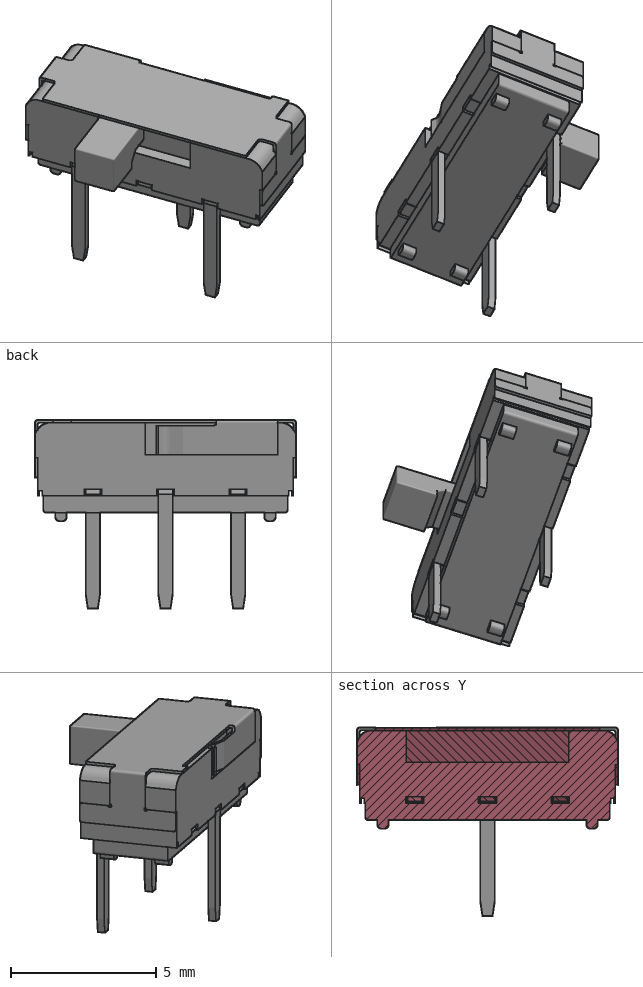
import cadquery as cq
import math


LENGTH = 9.0
DEPTH = 3.5
TOP = 3.195
SHEET = 0.1
HALF_X = LENGTH / 2
FRONT = -DEPTH / 2
REAR = DEPTH / 2
ROOF = TOP - SHEET
INNER_X = HALF_X - SHEET

SHELL_BOTTOM = 0.585
BASE_HALF_X = 4.21
BASE_INSET = 0.4
BASE_FILLET = 0.11
SHOULDER_RADIUS = 0.5
SHOULDER_ANGLE = 60
SHOULDER_FLAT_DROP = 0.135
LIP = 0.05
LIP_ROUND = 0.0225
LIP_GROOVE_WIDTH = 0.1
LIP_GROOVE_HEIGHT = 0.17
PEG_X = 3.6
PEG_Y = 1.0
PEG_LENGTH = 0.4
PEG_WIDTH = 0.5
PEG_HEIGHT = 0.3
PEG_FILLET = 0.15

WINDOW_LENGTH = 3.5
WINDOW_FLOOR = 2.0
FRONT_WALL = 0.42
PLATE_LENGTH = 5.58
PLATE_THICKNESS = 0.6
KNOB_CENTER_X = -0.96
KNOB_WIDTH = 1.5
KNOB_REACH = 2.0
KNOB_BOTTOM = 1.69
NECK_BOTTOM = 2.29
NECK_REACH = 0.21
SLOPE_RUN = 0.3
KNOB_FILLET = 0.05

STRAP_WIDTH = 1.3
BAND_TOP = 1.9
BAND_BOTTOM = 1.21
BAND_CORNER = 0.07
RELIEF_RADIUS = 0.05
COVER_HALF_X = 3.86
COVER_CORNER = 0.12
PLATE_FRONT_ROUND = 0.03
INNER_BEND = 0.08
NOTCH_LEFT = -1.75
NOTCH_RIGHT = 3.25
NOTCH_DEPTH = 0.19
NOTCH_CORNER = 0.05
LEAF_TOP = ROOF - SHEET
LEAF_BEND_X = -0.6
HUMP_LEFT = -0.2
HUMP_RIGHT = 0.08
HUMP_SIDE_DEPTH = 0.12
HUMP_DEPTH = 0.14
LEAF_RISE_END = 0.24
LEAF_TIP_X = 0.315
LEAF_TIP_CHAMFER = 0.04
LEAF_POCKET_RIGHT = 0.69
LEAF_POCKET_DEPTH = 0.3

TERMINAL_PITCH = 2.5
TERMINAL_WIDTH = 0.5
TERMINAL_THICKNESS = 0.26
TERMINAL_INSET = 0.03
STUB_BOTTOM = 0.64
STUB_SLOPE_RUN = 0.05
TIP_Z = -3.3
TIP_WIDTH = 0.35
TIP_LENGTH = 0.5
SLOT_WIDTH = 0.6
SLOT_TOP = 0.8
SLOT_DEPTH = 0.6

LONG_TERMINALS = [(-1, -1), (0, 1), (1, -1)]
SHORT_TERMINALS = [(-1, 1), (0, -1), (1, 1)]


def block(x0, x1, y0, y1, z0, z1):
    """Box between two corners."""
    return cq.Workplane("XY").box(x1 - x0, y1 - y0, z1 - z0, centered=False).translate((x0, y0, z0))


def shell():
    """Wide upper part of the housing, extruded from front to rear."""
    angle = math.radians(SHOULDER_ANGLE)
    flat_run = SHOULDER_FLAT_DROP / math.tan(angle)
    arc_end_x = HALF_X - flat_run
    arc_start_x = arc_end_x - SHOULDER_RADIUS * math.sin(angle)
    arc_end_z = ROOF - SHOULDER_RADIUS * (1 - math.cos(angle))
    arc_mid_x = arc_start_x + SHOULDER_RADIUS * math.sin(angle / 2)
    arc_mid_z = ROOF - SHOULDER_RADIUS * (1 - math.cos(angle / 2))
    shoulder_foot_z = arc_end_z - SHOULDER_FLAT_DROP
    return (
        cq.Workplane("XZ", origin=(0, REAR, 0))
        .moveTo(-INNER_X, SHELL_BOTTOM)
        .lineTo(-INNER_X, BAND_TOP)
        .lineTo(-HALF_X, BAND_TOP)
        .lineTo(-HALF_X, shoulder_foot_z)
        .lineTo(-arc_end_x, arc_end_z)
        .threePointArc((-arc_mid_x, arc_mid_z), (-arc_start_x, ROOF))
        .lineTo(arc_start_x, ROOF)
        .threePointArc((arc_mid_x, arc_mid_z), (arc_end_x, arc_end_z))
        .lineTo(HALF_X, shoulder_foot_z)
        .lineTo(HALF_X, BAND_TOP)
        .lineTo(INNER_X, BAND_TOP)
        .lineTo(INNER_X, SHELL_BOTTOM)
        .close()
        .extrude(DEPTH)
    )


def lip_grooves():
    """Grooves along Y that leave a thin lip at each lower end of the shell."""
    outer = INNER_X - LIP
    inner = outer - LIP_GROOVE_WIDTH
    groove_top = SHELL_BOTTOM + LIP_GROOVE_HEIGHT
    left = block(-outer, -inner, FRONT, REAR, SHELL_BOTTOM, groove_top)
    right = block(inner, outer, FRONT, REAR, SHELL_BOTTOM, groove_top)
    return left.union(right)


def base():
    """Narrower lower part of the housing with four locating pegs."""
    half_y = REAR - BASE_INSET
    body = block(-BASE_HALF_X, BASE_HALF_X, -half_y, half_y, 0, SHELL_BOTTOM)
    body = body.edges("|Y and <Z").fillet(BASE_FILLET)
    peg = block(-PEG_LENGTH / 2, PEG_LENGTH / 2, -PEG_WIDTH / 2, PEG_WIDTH / 2, -PEG_HEIGHT, 0)
    peg = peg.edges("|Y and <Z").fillet(PEG_FILLET)
    for x in (-PEG_X, PEG_X):
        for y in (-PEG_Y, PEG_Y):
            body = body.union(peg.translate((x, y, 0)))
    return body


def slider_cavity():
    """Front window and the pocket behind it that holds the slider plate."""
    half_window = WINDOW_LENGTH / 2
    half_plate = PLATE_LENGTH / 2
    wall_back = FRONT + FRONT_WALL
    window = block(-half_window, half_window, FRONT, wall_back, WINDOW_FLOOR, ROOF)
    pocket = block(-half_plate, half_plate, wall_back, wall_back + PLATE_THICKNESS, WINDOW_FLOOR, ROOF)
    return window.union(pocket)


def cover_recesses():
    """Recesses for the end straps, the folded rear wall and its leaf spring."""
    half_strap = STRAP_WIDTH / 2
    left = block(-HALF_X, -INNER_X, -half_strap, half_strap, BAND_TOP, ROOF)
    right = block(INNER_X, HALF_X, -half_strap, half_strap, BAND_TOP, ROOF)
    fold = block(-COVER_HALF_X, NOTCH_LEFT, REAR - SHEET, REAR, WINDOW_FLOOR, ROOF)
    leaf = block(NOTCH_LEFT, LEAF_POCKET_RIGHT, REAR - LEAF_POCKET_DEPTH, REAR, WINDOW_FLOOR, ROOF)
    return left.union(right).union(fold).union(leaf)


def terminal_slots():
    """Six slots at the lower front and rear edges of the shell."""
    slots = cq.Workplane("XY")
    for column, side in LONG_TERMINALS + SHORT_TERMINALS:
        x = column * TERMINAL_PITCH
        y = side * (REAR - SLOT_DEPTH / 2)
        half_x = SLOT_WIDTH / 2
        half_y = SLOT_DEPTH / 2
        slot = block(x - half_x, x + half_x, y - half_y, y + half_y, SHELL_BOTTOM, SLOT_TOP)
        slots = slots.add(slot)
    return slots.combine()


def make_housing():
    """Moulded housing."""
    upper = shell().cut(lip_grooves())
    groove_middle_x = INNER_X - LIP - LIP_GROOVE_WIDTH / 2
    lip_edges = upper.edges("|Y and <Z").filter(lambda edge: abs(edge.Center().x) > groove_middle_x)
    upper = lip_edges.fillet(LIP_ROUND)
    upper = upper.cut(slider_cavity()).cut(cover_recesses()).cut(terminal_slots())
    return upper.union(base())


def make_slider():
    """Knob with an undercut neck, joined to a plate inside the housing."""
    wall_back = FRONT + FRONT_WALL
    knob_front = FRONT - KNOB_REACH
    slope_start = FRONT - NECK_REACH
    slope_end = slope_start - SLOPE_RUN
    knob = (
        cq.Workplane("YZ", origin=(KNOB_CENTER_X - KNOB_WIDTH / 2, 0, 0))
        .polyline([
            (wall_back, ROOF),
            (knob_front, ROOF),
            (knob_front, KNOB_BOTTOM),
            (slope_end, KNOB_BOTTOM),
            (slope_end, NECK_BOTTOM - SLOPE_RUN),
            (slope_start, NECK_BOTTOM),
            (wall_back, NECK_BOTTOM),
        ])
        .close()
        .extrude(KNOB_WIDTH)
    )
    knob = knob.faces("<X or >X or <Y").edges("not >Y").fillet(KNOB_FILLET)
    half_plate = PLATE_LENGTH / 2
    plate = block(-half_plate, half_plate, wall_back, wall_back + PLATE_THICKNESS, WINDOW_FLOOR, ROOF)
    return knob.union(plate)


def end_strap():
    """Strap and band folded down the -X end, lying flat against the housing."""
    half_strap = STRAP_WIDTH / 2
    strap = block(-HALF_X, -INNER_X, -half_strap, half_strap, BAND_TOP, TOP)
    band = block(-HALF_X, -INNER_X, FRONT, REAR, BAND_BOTTOM, BAND_TOP)
    band = band.edges("|X").fillet(BAND_CORNER)
    relief = (
        cq.Workplane("YZ", origin=(-HALF_X, 0, 0))
        .pushPoints([(-half_strap, BAND_TOP), (half_strap, BAND_TOP)])
        .circle(RELIEF_RADIUS)
        .extrude(SHEET)
    )
    return strap.union(band).cut(relief)


def top_plate():
    """Flat plate with four corner cutouts and a notch at the rear."""
    half_strap = STRAP_WIDTH / 2
    plate = block(-COVER_HALF_X, COVER_HALF_X, FRONT, REAR, ROOF, TOP)
    arms = block(-HALF_X, HALF_X, -half_strap, half_strap, ROOF, TOP)
    plate = plate.edges("|Z and <Y").fillet(PLATE_FRONT_ROUND).union(arms)
    inner_corners = cq.selectors.BoxSelector(
        (-COVER_HALF_X - SHEET, -half_strap - SHEET, ROOF - SHEET),
        (COVER_HALF_X + SHEET, half_strap + SHEET, TOP + SHEET),
    )
    plate = plate.edges("|Z").edges(inner_corners).fillet(COVER_CORNER)
    notch = block(NOTCH_LEFT, NOTCH_RIGHT, REAR - NOTCH_DEPTH, REAR, ROOF, TOP)
    notch = notch.edges("|Z and <Y").fillet(NOTCH_CORNER)
    return plate.cut(notch)


def rear_fold():
    """Rear wall, its rounded bend, and the square plate corner that the bend replaces."""
    fold = block(-COVER_HALF_X, NOTCH_LEFT, REAR - SHEET, REAR, WINDOW_FLOOR, TOP)
    corner = block(-COVER_HALF_X, NOTCH_LEFT, REAR - SHEET, REAR, ROOF, TOP)
    bend = (
        cq.Workplane("YZ", origin=(-COVER_HALF_X, REAR - SHEET, ROOF))
        .circle(SHEET)
        .extrude(NOTCH_LEFT + COVER_HALF_X)
    )
    wall = fold.cut(corner)
    return wall, corner.intersect(bend), corner


def leaf_spring():
    """Leaf running on from the rear wall, with a detent hump toward the slider."""
    hump_middle = (HUMP_LEFT + HUMP_RIGHT) / 2
    inner_hump_right = HUMP_RIGHT + SHEET / 2
    return (
        cq.Workplane("XY", origin=(0, REAR, WINDOW_FLOOR))
        .moveTo(NOTCH_LEFT, 0)
        .lineTo(LEAF_BEND_X, 0)
        .lineTo(HUMP_LEFT, -HUMP_SIDE_DEPTH)
        .threePointArc((hump_middle, -HUMP_DEPTH), (HUMP_RIGHT, -HUMP_SIDE_DEPTH))
        .lineTo(LEAF_RISE_END, 0)
        .lineTo(LEAF_TIP_X, -LEAF_TIP_CHAMFER)
        .lineTo(LEAF_TIP_X, -SHEET)
        .lineTo(inner_hump_right, -HUMP_SIDE_DEPTH - SHEET)
        .threePointArc((hump_middle, -HUMP_DEPTH - SHEET), (HUMP_LEFT, -HUMP_SIDE_DEPTH - SHEET))
        .lineTo(LEAF_BEND_X, -SHEET)
        .lineTo(NOTCH_LEFT, -SHEET)
        .close()
        .extrude(LEAF_TOP - WINDOW_FLOOR)
    )


def leaf_root():
    """Concave rounding where the top of the leaf meets the end of the rear wall."""
    arc_mid = SHEET * (1 - math.cos(math.pi / 4))
    return (
        cq.Workplane("XZ", origin=(NOTCH_LEFT, REAR, LEAF_TOP))
        .lineTo(SHEET, 0)
        .threePointArc((arc_mid, arc_mid), (0, SHEET))
        .close()
        .extrude(SHEET)
    )


def make_cover():
    """Sheet-metal cover."""
    strap = end_strap()
    cover = top_plate().union(strap).union(strap.mirror("YZ"))
    cover = cover.edges("|Y and >Z").edges("<X or >X").fillet(SHEET)
    half_strap = STRAP_WIDTH / 2
    inner_bends = cq.selectors.BoxSelector(
        (-INNER_X - SHEET / 2, -half_strap, ROOF - SHEET / 2),
        (INNER_X + SHEET / 2, half_strap, ROOF + SHEET / 2),
    )
    cover = cover.edges("|Y").edges(inner_bends).fillet(INNER_BEND)
    wall, bend, corner = rear_fold()
    cover = cover.cut(corner).union(bend).union(wall)
    return cover.union(leaf_spring()).union(leaf_root())


def make_stub():
    """Short terminal lead with a sloped end, for the front side at X = 0."""
    outer = FRONT + TERMINAL_INSET
    inner = FRONT + SLOT_DEPTH
    return (
        cq.Workplane("YZ", origin=(-TERMINAL_WIDTH / 2, 0, 0))
        .polyline([
            (inner, STUB_BOTTOM),
            (outer, STUB_BOTTOM),
            (outer + STUB_SLOPE_RUN, SLOT_TOP),
            (inner, SLOT_TOP),
        ])
        .close()
        .extrude(TERMINAL_WIDTH)
    )


def make_pin():
    """Long terminal: the stub lead continued downward as a tapered pin."""
    half = TERMINAL_WIDTH / 2
    half_tip = TIP_WIDTH / 2
    taper_z = TIP_Z + TIP_LENGTH
    leg = (
        cq.Workplane("XZ", origin=(0, FRONT + TERMINAL_INSET + TERMINAL_THICKNESS, 0))
        .polyline([
            (-half, STUB_BOTTOM),
            (-half, taper_z),
            (-half_tip, TIP_Z),
            (half_tip, TIP_Z),
            (half, taper_z),
            (half, STUB_BOTTOM),
        ])
        .close()
        .extrude(TERMINAL_THICKNESS)
    )
    return make_stub().union(leg)


def place_terminals(terminal, places):
    """One separate solid per place, turned around for the rear side."""
    solids = []
    for column, side in places:
        turned = terminal.mirror("XZ") if side > 0 else terminal
        solids.append(turned.translate((column * TERMINAL_PITCH, 0, 0)).val())
    return solids


housing = make_housing()
slider = make_slider()
cover = make_cover()
pins = place_terminals(make_pin(), LONG_TERMINALS)
stubs = place_terminals(make_stub(), SHORT_TERMINALS)

result = cq.Compound.makeCompound([housing.val(), slider.val(), cover.val(), *pins, *stubs])